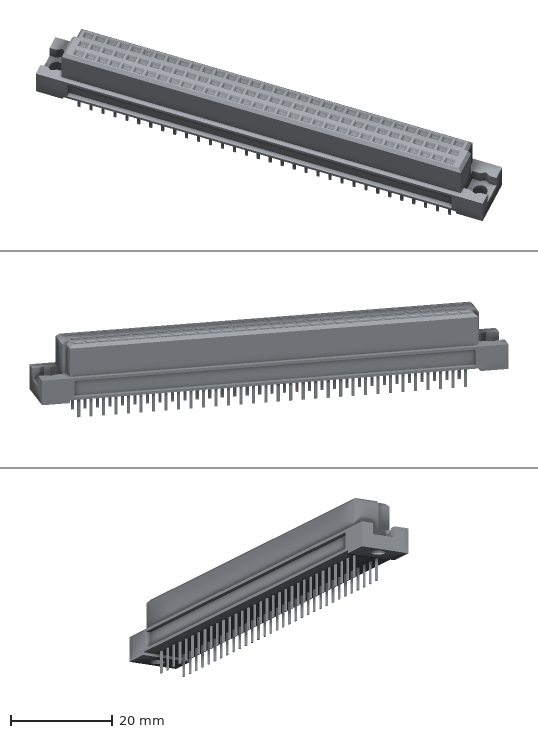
import cadquery as cq

length = 95
width = 10.5
flange_height = 5.1
foot_lift = 0.6
foot_length = 5.7
pin_tip_z = -4.0
top_z = 11.6

housing_width = 8.5
long_half_length = 84.8
short_half_length = 83.1
step_y = 1.3
top_chamfer = 0.62

columns = 32
contact_span = 78.8
pitch = contact_span / (columns - 1)
row_offsets = (-pitch, 0, pitch)
pin_width = 0.6
pin_thickness = 0.3

opening_length = 2.1
opening_width = 1.5
opening_bevel = 0.36
bevel_angle = 45

side_recess_length = 81.7
side_recess_bottom = 1.1
side_recess_height = 3.4
hole_spacing = 90.1
hole_diameter = 2.9
hole_y = -0.3
slot_width = 4.8
slot_depth = 2.3
nut_corner_radius = 3.0


def block(x_min, x_max, y_min, y_max, z_min, z_max):
    return (
        cq.Workplane("XY", origin=(x_min, y_min, z_min))
        .box(x_max - x_min, y_max - y_min, z_max - z_min, centered=False)
    )


def centred_block(x_size, y_size, z_min, z_max):
    return block(-x_size / 2, x_size / 2, -y_size / 2, y_size / 2, z_min, z_max)


def chamfered_prism(plane, base):
    """Rectangle with both top corners cut off, extruded past the whole part both ways."""
    half = base / 2
    shoulder_z = top_z - top_chamfer
    points = [
        (-half, foot_lift),
        (half, foot_lift),
        (half, shoulder_z),
        (half - top_chamfer, top_z),
        (top_chamfer - half, top_z),
        (-half, shoulder_z),
    ]
    return cq.Workplane(plane).polyline(points).close().extrude(length, both=True)


def make_housing():
    """Two halves of different length, chamfered all round the top."""
    cross_section = chamfered_prism("YZ", housing_width)
    long_half = chamfered_prism("XZ", long_half_length).intersect(
        block(-length, length, -width, step_y, 0, top_z)
    )
    short_half = chamfered_prism("XZ", short_half_length).intersect(
        block(-length, length, step_y, width, 0, top_z)
    )
    return cross_section.intersect(long_half.union(short_half))


def make_flange():
    """Full-width base with a raised underside and long side recesses as deep as the housing faces."""
    flange = centred_block(length, width, 0, flange_height)
    flange = flange.cut(centred_block(length - 2 * foot_length, width, 0, foot_lift))
    recess_top = side_recess_bottom + side_recess_height
    core = centred_block(length, housing_width, 0, flange_height)
    side_recesses = centred_block(side_recess_length, width, side_recess_bottom, recess_top).cut(core)
    return flange.cut(side_recesses)


def make_end_slots():
    """Open slots in the flange ends, each with a hexagonal nut seat around the screw hole."""
    slot_z = flange_height - slot_depth
    slots = centred_block(length, slot_width, slot_z, flange_height).translate((0, hole_y, 0))
    seat_plane = cq.Plane(origin=(0, hole_y, slot_z), xDir=(0, 1, 0), normal=(0, 0, 1))
    nut_seats = (
        cq.Workplane(seat_plane)
        .pushPoints([(0, -hole_spacing / 2), (0, hole_spacing / 2)])
        .polygon(6, 2 * nut_corner_radius)
        .extrude(slot_depth)
    )
    under_housing = centred_block(long_half_length, width, 0, flange_height)
    return slots.union(nut_seats).cut(under_housing)


def make_screw_holes():
    return (
        cq.Workplane("XY", origin=(0, hole_y, 0))
        .pushPoints([(-hole_spacing / 2, 0), (hole_spacing / 2, 0)])
        .circle(hole_diameter / 2)
        .extrude(flange_height)
    )


def grid_points(y):
    first_x = -contact_span / 2
    return [(first_x + column * pitch, y) for column in range(columns)]


def make_opening():
    """One contact opening, centred on the Z axis."""
    return (
        cq.Workplane("XY", origin=(0, 0, top_z))
        .rect(opening_length, opening_width)
        .extrude(-opening_bevel, taper=bevel_angle)
        .val()
    )


def make_openings():
    opening = make_opening()
    points = [point for y in row_offsets for point in grid_points(y)]
    solids = [opening.translate(cq.Vector(x, y, 0)) for x, y in points]
    return cq.Workplane(cq.Compound.makeCompound(solids))


def make_pins():
    """Solder tails under the two outer contact rows."""
    return (
        cq.Workplane("XY", origin=(0, 0, pin_tip_z))
        .pushPoints(grid_points(-pitch) + grid_points(pitch))
        .rect(pin_width, pin_thickness)
        .extrude(foot_lift - pin_tip_z)
    )


flange = make_flange().cut(make_end_slots()).cut(make_screw_holes())
body = flange.union(make_housing())
result = body.cut(make_openings()).union(make_pins())